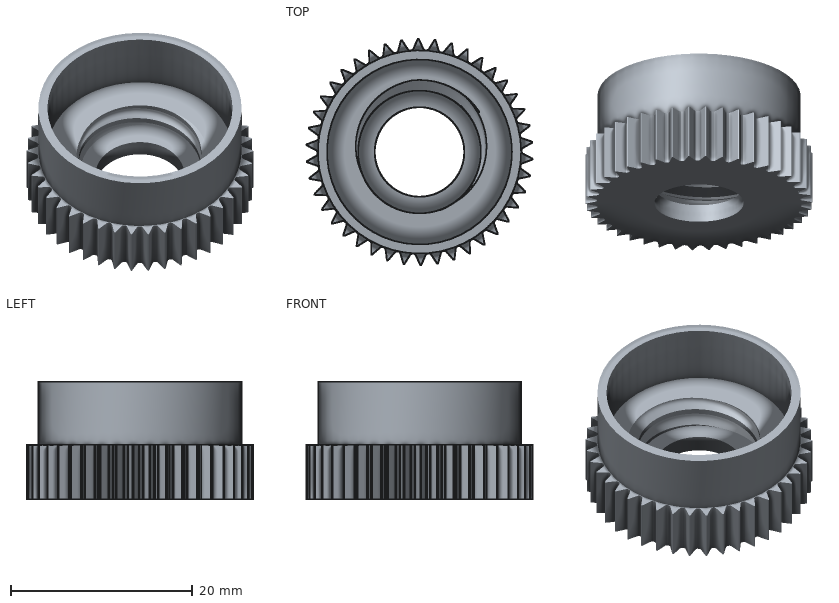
import cadquery as cq
import math

TOOTH_COUNT = 42
PITCH_ANGLE = 360 / TOOTH_COUNT
TIP_RADIUS = 12.5
ROOT_RADIUS = 11.25
ROOT_FLAT_WIDTH = 0.28
SHOULDER_RADIUS = 12.44
SHOULDER_WIDTH = 0.15
BASE_RADIUS = 11.35
BASE_WIDTH = 1.14
FIRST_TOOTH_ANGLE = 90.65
RING_HEIGHT = 6.0

TOTAL_HEIGHT = 13.0
CUP_OUTER_RADIUS = 22.4 / 2
CUP_INNER_RADIUS = 20.4 / 2

SEAT_Z = 2.0
HOLE_RADIUS = 9.85 / 2
THREAD_MINOR_RADIUS = 13.54 / 2
THREAD_MAJOR_RADIUS = 15.88 / 2
THREAD_PITCH = 25.4 / 11
THREAD_HALF_ANGLE = 30.0
GROOVE_FLAT = THREAD_PITCH / 8
GROOVE_Z_AT_X_AXIS = 5.53
GROOVE_OVERLAP = 0.2


def polar(radius, angle):
    """Point at a radius and an angle in degrees."""
    return radius * math.cos(math.radians(angle)), radius * math.sin(math.radians(angle))


def half_angle(width, radius):
    """Half the angle, in degrees, that a chord of this width spans."""
    return math.degrees(math.asin(width / 2 / radius))


def toothed_ring():
    base_half = half_angle(BASE_WIDTH, BASE_RADIUS)
    shoulder_half = half_angle(SHOULDER_WIDTH, SHOULDER_RADIUS)
    root_flat_half = half_angle(ROOT_FLAT_WIDTH, ROOT_RADIUS)
    outline = []
    for tooth in range(TOOTH_COUNT):
        center = FIRST_TOOTH_ANGLE + tooth * PITCH_ANGLE
        gap_center = center + PITCH_ANGLE / 2
        outline += [
            polar(BASE_RADIUS, center - base_half),
            polar(SHOULDER_RADIUS, center - shoulder_half),
            polar(TIP_RADIUS, center),
            polar(SHOULDER_RADIUS, center + shoulder_half),
            polar(BASE_RADIUS, center + base_half),
            polar(ROOT_RADIUS, gap_center - root_flat_half),
            polar(ROOT_RADIUS, gap_center + root_flat_half),
        ]
    return cq.Workplane("XY").polyline(outline).close().extrude(RING_HEIGHT)


def cylinder(radius, bottom, top):
    return cq.Workplane("XY").workplane(offset=bottom).circle(radius).extrude(top - bottom)


def thread_groove():
    """Right-hand V groove, trimmed between the seat and the cup floor."""
    turns_below = math.ceil((GROOVE_Z_AT_X_AXIS - SEAT_Z) / THREAD_PITCH) + 1
    start_z = GROOVE_Z_AT_X_AXIS - turns_below * THREAD_PITCH
    length = (turns_below + 2) * THREAD_PITCH
    inner_radius = THREAD_MINOR_RADIUS - GROOVE_OVERLAP
    depth = THREAD_MAJOR_RADIUS - inner_radius
    root_half = GROOVE_FLAT / 2
    mouth_half = root_half + depth * math.tan(math.radians(THREAD_HALF_ANGLE))

    helix = cq.Wire.makeHelix(THREAD_PITCH, length, inner_radius, cq.Vector(0, 0, start_z))
    groove = (
        cq.Workplane("XZ")
        .polyline([
            (inner_radius, start_z - mouth_half),
            (THREAD_MAJOR_RADIUS, start_z - root_half),
            (THREAD_MAJOR_RADIUS, start_z + root_half),
            (inner_radius, start_z + mouth_half),
        ])
        .close()
        .sweep(cq.Workplane(helix), isFrenet=True)
    )
    return groove.intersect(cylinder(CUP_INNER_RADIUS, SEAT_Z, RING_HEIGHT))


body = toothed_ring().union(cylinder(CUP_OUTER_RADIUS, 0, TOTAL_HEIGHT))
body = body.cut(cylinder(CUP_INNER_RADIUS, RING_HEIGHT, TOTAL_HEIGHT))
body = body.cut(cylinder(THREAD_MINOR_RADIUS, SEAT_Z, RING_HEIGHT))
body = body.cut(cylinder(HOLE_RADIUS, 0, SEAT_Z))
result = body.cut(thread_groove())